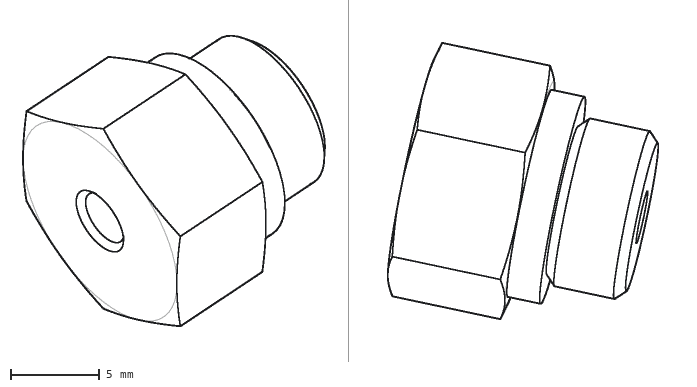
import cadquery as cq
import math

hex_length = 6.8
collar_length = 1.9
spigot_length = 4.6

across_flats = 13.0
half_side_angle = 30.0
across_corners = across_flats / math.cos(math.radians(half_side_angle))
corner_chamfer_angle = 15.0

collar_diameter = 12.0
spigot_diameter = 9.73
spigot_chamfer = 0.57

through_diameter = 3.0
front_bore_diameter = 3.24
front_bore_depth = hex_length
countersink_diameter = 4.0

collar_start = hex_length
spigot_start = collar_start + collar_length
total_length = spigot_start + spigot_length


def revolve_about_y(profile):
    """Turn a closed (radius, y) profile around the Y axis."""
    return cq.Workplane("XY").polyline(profile).close().revolve(360, (0, 0, 0), (0, 1, 0))


def make_hexagon():
    """Hexagonal prism whose corners are turned down at both ends."""
    prism = (
        cq.Workplane("XZ")
        .polygon(6, across_corners)
        .extrude(-hex_length)
        .rotate((0, 0, 0), (0, 1, 0), half_side_angle)
    )
    flat_radius = across_flats / 2
    envelope_radius = across_corners
    cone_length = (envelope_radius - flat_radius) * math.tan(math.radians(corner_chamfer_angle))
    envelope = revolve_about_y([
        (0, 0),
        (flat_radius, 0),
        (envelope_radius, cone_length),
        (envelope_radius, hex_length - cone_length),
        (flat_radius, hex_length),
        (0, hex_length),
    ])
    return prism.intersect(envelope)


def make_turned_end():
    """Collar and spigot; the spigot is chamfered at its tip and at its root."""
    collar_radius = collar_diameter / 2
    spigot_radius = spigot_diameter / 2
    chamfered_radius = spigot_radius - spigot_chamfer
    return revolve_about_y([
        (0, collar_start),
        (collar_radius, collar_start),
        (collar_radius, spigot_start),
        (chamfered_radius, spigot_start),
        (spigot_radius, spigot_start + spigot_chamfer),
        (spigot_radius, total_length - spigot_chamfer),
        (chamfered_radius, total_length),
        (0, total_length),
    ])


def make_bore():
    """Stepped hole through the part, with a 45 degree countersink at the front."""
    through_radius = through_diameter / 2
    front_bore_radius = front_bore_diameter / 2
    countersink_radius = countersink_diameter / 2
    countersink_depth = countersink_radius - front_bore_radius
    return revolve_about_y([
        (0, 0),
        (countersink_radius, 0),
        (front_bore_radius, countersink_depth),
        (front_bore_radius, front_bore_depth),
        (through_radius, front_bore_depth),
        (through_radius, total_length),
        (0, total_length),
    ])


result = make_hexagon().union(make_turned_end()).cut(make_bore())